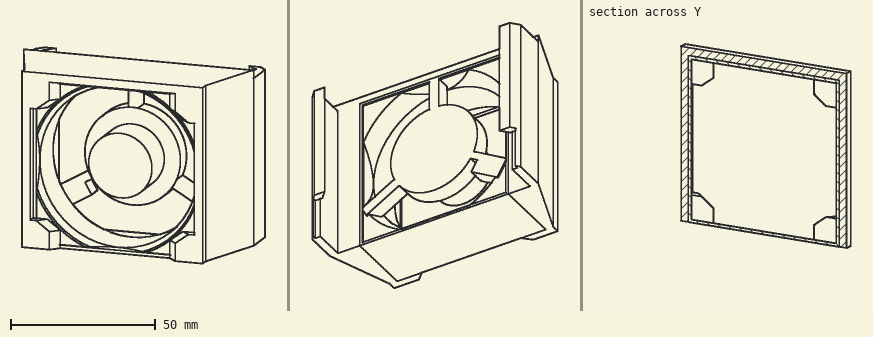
import cadquery as cq

fan_size = 60.0
fan_depth = 25.0
frame_wall = 1.2
rear_lip_wall = 1.0
rim_recess_depth = 0.6
bore_diameter = 57.5
front_flare_diameter = 60.7
front_rim_diameter = 61.9
rear_flare_diameter = 63.75
front_flare_depth = 3.0
rear_flare_depth = 6.65
front_rim_depth = 0.4

base_diameter = 35.0
base_depth = 6.6
rotor_diameter = 23.1
rotor_front_gap = 5.5
strut_width = 3.95
strut_depth = 6.4
strut_edge_radius = 1.2
strut_angles = (90, -30)
cable_strut_angle = 210
cable_boss_width = 4.9
cable_boss_start = 20.6

wall = 3.0
overall_width = 84.1
overall_depth = 42.7
top_bevel = 0.5
tab_width = 7.0
tab_height = 6.5
tab_slope_width = 4.8
tab_slope_height = 3.5

arm_thickness = 3.3
hook_depth = 2.95
hook_bevel_width = 2.6
hook_reach = 6.8
hook_root = 4.2
hook_stub_width = 1.3
hook_cut_height = 15.9

fan_front = wall
fan_back = fan_front + fan_depth
fan_center_z = fan_size / 2
housing_height = fan_size + wall
housing_front_width = fan_size + 2 * wall
overlap = 0.8
strut_inner_radius = base_diameter / 2 - overlap
strut_outer_radius = rear_flare_diameter / 2 + overlap


def cylinder_y(diameter, y_front, y_back):
    """Cylinder on the fan axis between two depths."""
    plane = cq.Workplane("XZ", origin=(0, y_front, fan_center_z))
    return plane.circle(diameter / 2).extrude(y_front - y_back)


def box_y(size, y_front, y_back):
    """Square block centred on the fan axis between two depths."""
    plane = cq.Workplane("XZ", origin=(0, y_front, fan_center_z))
    return plane.rect(size, size).extrude(y_front - y_back)


def make_shell():
    """Tapered outer body with a bevelled rear top edge."""
    front_half = housing_front_width / 2
    rear_half = overall_width / 2
    outline = [
        (-front_half, 0),
        (front_half, 0),
        (front_half, wall),
        (rear_half, fan_back),
        (-rear_half, fan_back),
        (-front_half, wall),
    ]
    shell = cq.Workplane("XY").polyline(outline).close().extrude(housing_height)
    return shell.edges(">Y and >Z").chamfer(top_bevel)


def make_tab(side, end):
    """Corner tab in front of the fan; its inner faces lean inward towards the fan."""
    outer_x = side * fan_size / 2
    slope_x = outer_x - side * (tab_width - tab_slope_width)
    inner_x = outer_x - side * tab_width
    outer_z = end * fan_size / 2
    slope_z = outer_z - end * tab_height
    low_z = slope_z - end * tab_slope_height
    lean = side * wall

    def outline(shift):
        return [
            (outer_x, outer_z),
            (outer_x, low_z),
            (slope_x - shift, low_z),
            (inner_x - shift, slope_z),
            (inner_x - shift, outer_z),
        ]

    plane = cq.Workplane("XZ", origin=(0, 0, fan_center_z))
    front = plane.polyline(outline(0)).close()
    back = front.workplane(offset=-wall).polyline(outline(lean)).close()
    return back.loft(ruled=True)


def make_arm(side):
    """Rear clip arm ending in an inward hook, reduced to a small bevelled stub near the bottom."""
    hook_front = overall_depth - hook_depth
    from_outside = [
        (0, fan_back),
        (0, hook_front),
        (hook_bevel_width, overall_depth),
        (hook_reach, overall_depth),
        (hook_root, hook_front),
        (arm_thickness, hook_front),
        (arm_thickness, fan_back),
    ]
    outline = [(side * (overall_width / 2 - inset), y) for inset, y in from_outside]
    arm = cq.Workplane("XY").polyline(outline).close().extrude(fan_size)
    cut_width = overall_width - 2 * hook_stub_width
    cut = cq.Workplane("XY").box(cut_width, hook_depth, hook_cut_height, centered=(True, False, False))
    return arm.cut(cut.translate((0, hook_front, 0)))


def make_housing():
    """Shell around the fan, open at the bottom, with front corner tabs and rear clip arms."""
    housing = make_shell().cut(box_y(fan_size, 0, fan_back))
    for side in (-1, 1):
        for end in (-1, 1):
            housing = housing.union(make_tab(side, end))
        housing = housing.union(make_arm(side))
    return housing


def make_flare(profile):
    """Turned cut from (radius, depth) points, kept inside the frame walls."""
    cone = cq.Workplane("XY").polyline(profile).close().revolve(axisStart=(0, 0), axisEnd=(0, 1))
    limit = box_y(fan_size - 2 * frame_wall, fan_front, fan_back)
    return cone.translate((0, 0, fan_center_z)).intersect(limit)


def make_front_flare():
    """Front mouth with a narrow, steeper rim."""
    floor = fan_front + rim_recess_depth
    throat = floor + front_flare_depth
    profile = [
        (0, floor),
        (front_rim_diameter / 2, floor),
        (front_flare_diameter / 2, floor + front_rim_depth),
        (bore_diameter / 2, throat),
        (0, throat),
    ]
    return make_flare(profile)


def make_rear_flare():
    """Longer plain cone at the rear."""
    floor = fan_back - rim_recess_depth
    throat = floor - rear_flare_depth
    profile = [
        (0, floor),
        (rear_flare_diameter / 2, floor),
        (bore_diameter / 2, throat),
        (0, throat),
    ]
    return make_flare(profile)


def make_frame():
    """Square fan frame with a flared bore and shallow recesses in both faces."""
    recess_size = fan_size - 2 * frame_wall
    frame = box_y(fan_size, fan_front, fan_back)
    frame = frame.cut(cylinder_y(bore_diameter, fan_front, fan_back))
    frame = frame.cut(box_y(recess_size, fan_front, fan_front + rim_recess_depth))
    frame = frame.cut(box_y(fan_size - 2 * rear_lip_wall, fan_back - rim_recess_depth, fan_back))
    return frame.cut(make_front_flare()).cut(make_rear_flare())


def place_radially(bar, angle):
    """Turn a bar that stands on the Z axis to a direction around the fan axis."""
    return bar.rotate((0, 0, 0), (0, 1, 0), 90 - angle).translate((0, 0, fan_center_z))


def make_strut_bar():
    """Bar from the hub to the frame, standing on Z, with rounded front edges."""
    length = strut_outer_radius - strut_inner_radius
    bar = cq.Workplane("XY").box(strut_width, strut_depth, length, centered=(True, False, False))
    bar = bar.translate((0, fan_back - strut_depth, strut_inner_radius))
    return bar.edges("<Y and |Z").fillet(strut_edge_radius)


def make_cable_strut_bar():
    """Strut bar cut off along one side of its flat crest, with a flat cable boss near the frame."""
    crest_side = strut_edge_radius - strut_width / 2
    bar = make_strut_bar()
    cut = cq.Workplane("XY").box(strut_width, overall_depth, overall_width)
    bar = bar.cut(cut.translate((crest_side - strut_width / 2, fan_back, 0)))
    length = strut_outer_radius - cable_boss_start
    boss = cq.Workplane("XY").box(cable_boss_width, strut_depth, length, centered=False)
    boss_place = (crest_side - cable_boss_width, fan_back - strut_depth, cable_boss_start)
    return bar.union(boss.translate(boss_place))


def make_fan():
    """Frame and hub joined by three struts, none of them passing the outer sides of the frame."""
    base = cylinder_y(base_diameter, fan_back - base_depth, fan_back)
    rotor = cylinder_y(rotor_diameter, fan_front + rotor_front_gap, fan_back)
    fan = make_frame().union(base).union(rotor)
    struts = [place_radially(make_cable_strut_bar(), cable_strut_angle)]
    struts += [place_radially(make_strut_bar(), angle) for angle in strut_angles]
    envelope = box_y(fan_size, fan_front, fan_back)
    for strut in struts:
        fan = fan.union(strut.intersect(envelope))
    return fan


housing = make_housing()
fan = make_fan()

result = cq.Compound.makeCompound([housing.val(), fan.val()])